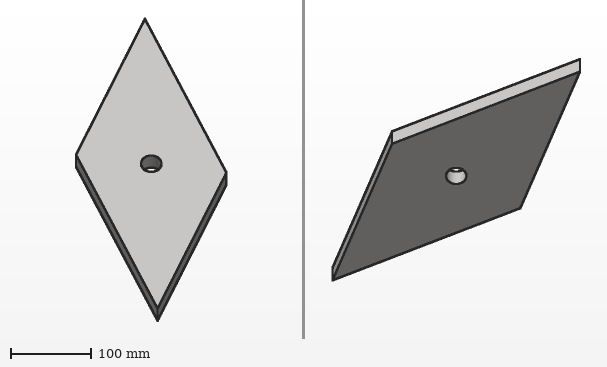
import cadquery as cq

length = 422.0
width = 161.5
thickness = 25.5
hole_diameter = 25.5

slant = width
half_length = length / 2
half_width = width / 2

corners = [
    (-half_length, half_width),
    (half_length - slant, half_width),
    (half_length, -half_width),
    (-half_length + slant, -half_width),
]
plate = cq.Workplane("XY").polyline(corners).close().extrude(thickness)

hole = cq.Workplane("XY").circle(hole_diameter / 2).extrude(thickness)

result = plate.cut(hole)